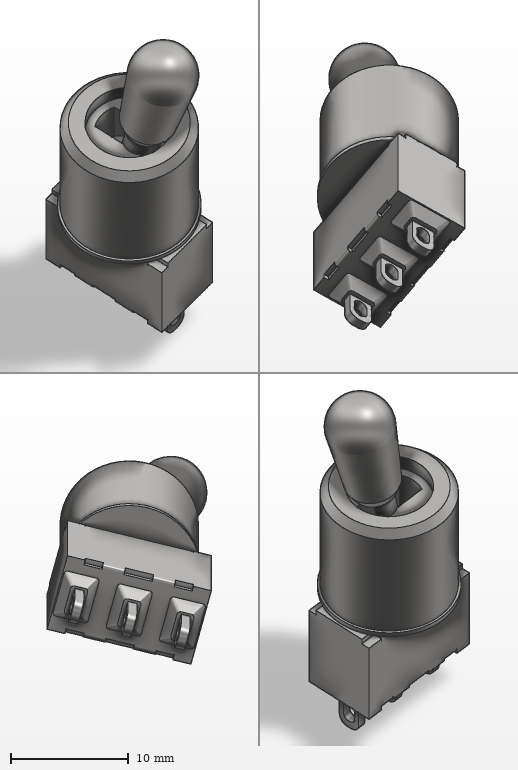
import cadquery as cq
import math


body_length = 12.62
body_width = 6.9
body_height = 8.85
middle_length = 9.5
edge_fillet = 0.8
ledge_depth = 0.52
ledge_width = 0.82
bottom_fillet = 0.35
notch_height = 0.45
notch_depth = 0.45
middle_notch_length = 2.45
outer_notch_length = 1.55

flange_diameter = 12.2
flange_height = 0.45
bushing_diameter = 11.75
bushing_top = 20.7
bushing_chamfer = 0.7
recess_diameter = 7.5
recess_depth = 1.4
slot_width = 2.6
slot_length = 5.97

lever_tilt = 12.0
pivot_height = 13.05
ball_radius = 3.7
stem_diameter = 3.15
stem_thickness = 2.45
knob_bottom = 8.95
knob_bottom_radius = 2.05
knob_waist = 10.05
knob_waist_radius = 2.5
knob_shoulder = 17.6
knob_radius = 3.05

terminal_spacing = 4.65
terminal_thickness = 0.8
terminal_width = 2.25
terminal_length = 4.05
terminal_fillet = 0.95
eye_width = 1.3
eye_height = 1.98
eye_centre = 1.7
seal_length = 3.05
seal_width = 4.22
seal_height = 1.0
seal_inset = 0.8
seal_corner_radius = 0.3


def make_body():
    middle = (
        cq.Workplane("XY").box(middle_length, body_width, body_height, centered=(True, True, False))
        .faces(">Z").edges("|X").fillet(edge_fillet)
        .faces("<Z").edges("|X").fillet(bottom_fillet)
    )
    lower_height = body_height - ledge_depth
    lower_ends = (
        cq.Workplane("XY").box(body_length, body_width, lower_height, centered=(True, True, False))
        .cut(cq.Workplane("XY").box(middle_length, body_width, 2 * body_height))
    )
    ridge_width = body_width - 2 * ledge_width
    ridge = cq.Workplane("XY").box(body_length, ridge_width, body_height, centered=(True, True, False))
    return middle.union(lower_ends).union(ridge)


def cut_notches(body):
    outer_notch_x = (middle_length - outer_notch_length) / 2
    notches = (
        (-outer_notch_x, outer_notch_length),
        (0, middle_notch_length),
        (outer_notch_x, outer_notch_length),
    )
    for notch_x, notch_length in notches:
        for side in (-1, 1):
            notch_y = side * (body_width - notch_depth) / 2
            notch = cq.Workplane("XY").box(notch_length, notch_depth, notch_height)
            body = body.cut(notch.translate((notch_x, notch_y, notch_height / 2)))
    return body


def disc_down(diameter, top, depth):
    return cq.Workplane("XY").workplane(offset=top).circle(diameter / 2).extrude(-depth)


def make_bushing():
    flange = disc_down(flange_diameter, body_height + flange_height, flange_height)
    barrel = disc_down(bushing_diameter, bushing_top, bushing_top - body_height)
    barrel = barrel.faces(">Z").chamfer(bushing_chamfer)
    recess = disc_down(recess_diameter, bushing_top, recess_depth)

    slot_depth = bushing_top - pivot_height
    channel = (
        cq.Workplane("XY").workplane(offset=bushing_top)
        .rect(slot_length, slot_width).extrude(-slot_depth)
    )
    slot = disc_down(slot_length, bushing_top, slot_depth).intersect(channel)
    ball = cq.Workplane("XY").sphere(ball_radius).translate((0, 0, pivot_height))
    return flange.union(barrel).cut(recess).cut(slot.cut(ball))


def make_lever():
    flats = cq.Workplane("XY").rect(stem_thickness, stem_diameter).extrude(knob_waist)
    stem = cq.Workplane("XY").circle(stem_diameter / 2).extrude(knob_waist).intersect(flats)
    dome_side = knob_radius * math.sqrt(0.5)
    knob = (
        cq.Workplane("XZ")
        .moveTo(0, knob_bottom)
        .lineTo(knob_bottom_radius, knob_bottom)
        .lineTo(knob_waist_radius, knob_waist)
        .lineTo(knob_radius, knob_shoulder)
        .threePointArc((dome_side, knob_shoulder + dome_side), (0, knob_shoulder + knob_radius))
        .close()
        .revolve(360, (0, 0), (0, 1))
    )
    lever = stem.union(knob)
    return lever.rotate((0, 0, 0), (0, 1, 0), lever_tilt).translate((0, 0, pivot_height))


def rounded_rectangle(length, width):
    return cq.Sketch().rect(length, width).vertices().fillet(seal_corner_radius)


def make_terminal():
    blade = (
        cq.Workplane("XY").box(terminal_thickness, terminal_width, terminal_length)
        .faces("<Z").edges("|X").fillet(terminal_fillet)
        .translate((0, 0, -terminal_length / 2))
    )
    eye = (
        cq.Workplane("YZ").center(0, eye_centre - terminal_length)
        .slot2D(eye_height, eye_width, 90).extrude(terminal_thickness, both=True)
    )
    seal_base = rounded_rectangle(seal_length, seal_width)
    seal_tip = rounded_rectangle(seal_length - 2 * seal_inset, seal_width - 2 * seal_inset)
    seal_tip = seal_tip.moved(cq.Location((0, 0, -seal_height)))
    seal = cq.Workplane("XY").placeSketch(seal_base, seal_tip).loft()
    return blade.cut(eye).union(seal)


result = cut_notches(make_body()).union(make_bushing()).union(make_lever())
for position in (-1, 0, 1):
    result = result.union(make_terminal().translate((position * terminal_spacing, 0, 0)))